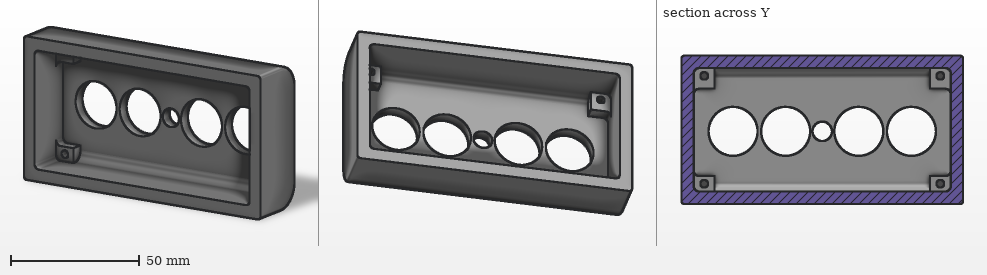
import cadquery as cq

LENGTH = 110.0
DEPTH = 25.5
HEIGHT = 58.0
BACK_EDGE_RADIUS = 10.0
END_EDGE_RADIUS = 1.4

SIDE_WALL = 5.0
BACK_WALL = 5.0
CAVITY_CORNER_RADIUS = 2.0
CAVITY_FLOOR_RADIUS = 4.0
CAVITY_LENGTH = LENGTH - 2 * SIDE_WALL
CAVITY_HEIGHT = HEIGHT - 2 * SIDE_WALL
CAVITY_DEPTH = DEPTH - BACK_WALL

LARGE_HOLE_DIAMETER = 19.0
SMALL_HOLE_DIAMETER = 7.5
HOLE_ROW_Z = -0.6
SMALL_TO_LARGE_GAP = 1.0
LARGE_TO_LARGE_GAP = 1.5
INNER_HOLE_X = (SMALL_HOLE_DIAMETER + LARGE_HOLE_DIAMETER) / 2 + SMALL_TO_LARGE_GAP
OUTER_HOLE_X = INNER_HOLE_X + LARGE_HOLE_DIAMETER + LARGE_TO_LARGE_GAP

BOSS_WIDTH = 8.0
UPPER_BOSS_REACH = 8.0
LOWER_BOSS_REACH = 6.0
BOSS_HEIGHT = 5.0
BOSS_BLEND_RADIUS = 2.0
SCREW_HOLE_DIAMETER = 3.0
SCREW_HOLE_DEPTH = BOSS_HEIGHT
SCREW_INSET_X = 4.0
SCREW_INSET_Z = 3.0
SCREW_X = CAVITY_LENGTH / 2 - SCREW_INSET_X
SCREW_Z = CAVITY_HEIGHT / 2 - SCREW_INSET_Z

SIGNS = (-1, 1)


def block(length, depth, height):
    """Box centred on X and Z that starts at the open face, y = 0, and runs toward +Y."""
    return cq.Workplane("XY").box(length, depth, height, centered=(True, False, True))


def cylinder(diameter, depth, x, y, z):
    """Cylinder along +Y, starting at the point (x, y, z)."""
    circle = cq.Workplane("XZ", origin=(x, y, z)).circle(diameter / 2)
    return circle.extrude(-depth)


def make_body():
    """Block with rounded long back edges and softened end outlines."""
    body = block(LENGTH, DEPTH, HEIGHT)
    body = body.faces(">Y").edges("|X").fillet(BACK_EDGE_RADIUS)
    end_outlines = body.faces("<X or >X").edges("not(<Y)")
    return end_outlines.fillet(END_EDGE_RADIUS)


def make_cavity():
    """Pocket volume with rounded corners along its depth and rounded long floor edges."""
    pocket = block(CAVITY_LENGTH, CAVITY_DEPTH, CAVITY_HEIGHT)
    pocket = pocket.faces(">Y").edges("|X").fillet(CAVITY_FLOOR_RADIUS)
    corners = block(CAVITY_LENGTH, CAVITY_DEPTH, CAVITY_HEIGHT).edges("|Y").fillet(CAVITY_CORNER_RADIUS)
    return pocket.intersect(corners)


def make_boss(x_sign, z_sign):
    """Rectangular corner boss, flared where its inner side meets the end wall."""
    wall_x = CAVITY_LENGTH / 2
    wall_z = CAVITY_HEIGHT / 2
    inner_x = wall_x - BOSS_WIDTH
    reach = UPPER_BOSS_REACH if z_sign > 0 else LOWER_BOSS_REACH
    inner_z = wall_z - reach
    blend = BOSS_BLEND_RADIUS
    outer_x = wall_x + SIDE_WALL / 2
    outer_z = wall_z + SIDE_WALL / 2
    start_y = CAVITY_DEPTH - BOSS_HEIGHT
    profile = (
        cq.Workplane("XZ", origin=(0, start_y, 0))
        .moveTo(inner_x, outer_z)
        .lineTo(inner_x, inner_z)
        .lineTo(wall_x - blend, inner_z)
        .radiusArc((wall_x, inner_z - blend), blend)
        .lineTo(outer_x, inner_z - blend)
        .lineTo(outer_x, outer_z)
        .close()
    )
    boss = profile.extrude(-BOSS_HEIGHT)
    if x_sign < 0:
        boss = boss.mirror("YZ")
    if z_sign < 0:
        boss = boss.mirror("XY")
    return boss


def make_back_openings():
    """Row of round openings through the back wall: one small, with two large on each side."""
    openings = cylinder(SMALL_HOLE_DIAMETER, DEPTH, 0, 0, HOLE_ROW_Z)
    for x_sign in SIGNS:
        for hole_x in (INNER_HOLE_X, OUTER_HOLE_X):
            openings = openings.union(cylinder(LARGE_HOLE_DIAMETER, DEPTH, x_sign * hole_x, 0, HOLE_ROW_Z))
    return openings


def make_screw_hole(x_sign, z_sign):
    """Blind screw hole running the full height of one boss."""
    start_y = CAVITY_DEPTH - BOSS_HEIGHT
    return cylinder(SCREW_HOLE_DIAMETER, SCREW_HOLE_DEPTH, x_sign * SCREW_X, start_y, z_sign * SCREW_Z)


def make_case():
    """Hollow body with corner bosses, back openings and screw holes."""
    cavity = make_cavity()
    for x_sign in SIGNS:
        for z_sign in SIGNS:
            cavity = cavity.cut(make_boss(x_sign, z_sign))

    case = make_body().cut(cavity).cut(make_back_openings())
    for x_sign in SIGNS:
        for z_sign in SIGNS:
            case = case.cut(make_screw_hole(x_sign, z_sign))
    return case


result = make_case()